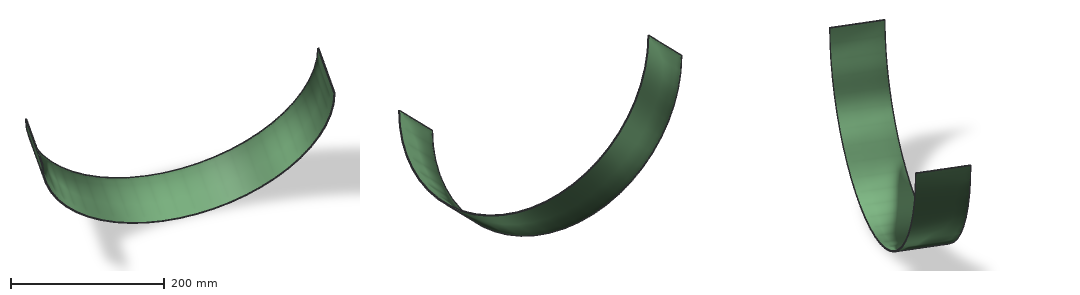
import cadquery as cq

band_width = 75.0
outer_radius = 200.0
wall_thickness = 1.6
inner_radius = outer_radius - wall_thickness


def half_round_band():
    """Lower half of a thin ring in the YZ plane, extruded symmetrically along X."""
    profile = (
        cq.Workplane("YZ")
        .moveTo(-outer_radius, 0)
        .threePointArc((0, -outer_radius), (outer_radius, 0))
        .lineTo(inner_radius, 0)
        .threePointArc((0, -inner_radius), (-inner_radius, 0))
        .close()
    )
    return profile.extrude(band_width / 2, both=True)


result = half_round_band()